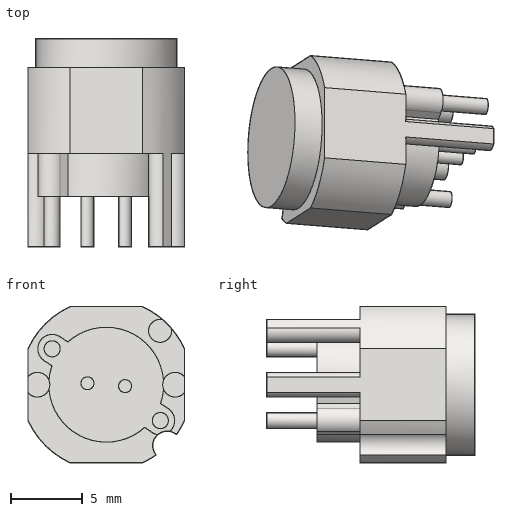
import cadquery as cq
import math


body_radius = 6.0
body_width = 10.9
body_length = 6.0

cap_radius = 4.92
cap_length = 2.0

boss_radius = 4.0
boss_length = 3.0
ear_radius = 1.0
ear_x = 3.765
ear_z = 2.5

pin_reach = 6.5
ear_pin_radius = 0.56
contact_radius = 0.45
contact_x = 1.31
contact_z = 0.1
side_post_radius = 0.86
side_post_x = 4.79
corner_post_radius = 0.8
corner_post_offset = 3.75

notch_radius = 1.0
notch_angle = -45.0


def cylinder(x, z, radius, y_back, length):
    """Cylinder along Y, reaching from y_back toward -Y."""
    return cq.Workplane("XZ", origin=(x, y_back, z)).circle(radius).extrude(length)


def body_bar(y_back, length):
    """Round bar with four flats, used for the body and to trim the posts."""
    bar = cylinder(0, 0, body_radius, y_back, length)
    flats = cq.Workplane("XZ", origin=(0, y_back, 0)).rect(body_width, body_width).extrude(length)
    return bar.intersect(flats)


def ears():
    """Slot through the part axis whose round ends form the two opposite ears."""
    center_distance = math.hypot(ear_x, ear_z)
    slot_length = 2 * (center_distance + ear_radius)
    slot_angle = math.degrees(math.atan2(-ear_z, ear_x))
    return cq.Workplane("XZ").slot2D(slot_length, 2 * ear_radius, slot_angle).extrude(boss_length)


def posts():
    """Side posts and corner post, trimmed flush with the body outline."""
    left = cylinder(-side_post_x, 0, side_post_radius, 0, pin_reach)
    right = cylinder(side_post_x, 0, side_post_radius, 0, pin_reach)
    corner = cylinder(corner_post_offset, corner_post_offset, corner_post_radius, 0, pin_reach)
    return left.union(right).union(corner).intersect(body_bar(0, pin_reach))


def notch():
    """Round groove along the whole body and boss."""
    angle = math.radians(notch_angle)
    x = body_radius * math.cos(angle)
    z = body_radius * math.sin(angle)
    return cylinder(x, z, notch_radius, body_length, body_length + boss_length)


result = body_bar(body_length, body_length)
result = result.union(cylinder(0, 0, cap_radius, body_length + cap_length, cap_length))
result = result.union(cylinder(0, 0, boss_radius, 0, boss_length).union(ears()))
result = result.cut(notch())

result = result.union(posts())
for side in (-1, 1):
    result = result.union(cylinder(side * ear_x, -side * ear_z, ear_pin_radius, 0, pin_reach))
    result = result.union(cylinder(side * contact_x, -side * contact_z, contact_radius, 0, pin_reach))